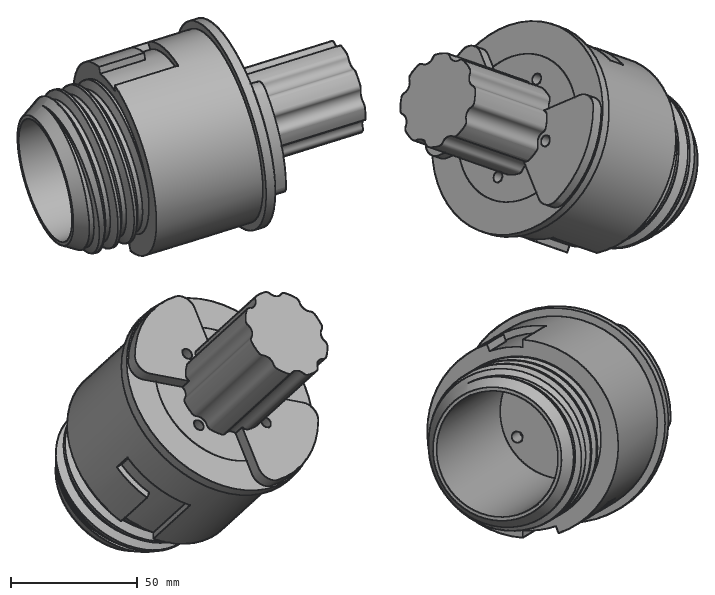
import cadquery as cq
import math


sleeve_front_y = 30.0
flange_thickness = 4.0
sleeve_back_y = 80.0
pad_thickness = 5.0
shaft_end_y = 130.0
end_wall_thickness = 5.0

sleeve_radius = 40.0
flange_radius = 43.25
slot_floor_radius = 37.0
slot_count = 2
slot_start_angle = 90.0
entry_sweep = 22.0
lock_sweep = 46.5
lock_front_y = 49.5
lock_back_y = 57.5

thread_crest_radius = 33.25
bore_radius = 25.4
thread_root_radius = 30.0
thread_pitch = 7.0
thread_root_width = 2.0
thread_flank_angle = 30.0
thread_groove_start_y = -7.55
nose_radius = 26.9
nose_taper_angle = 31.0

core_angle = 28.25
pad_count = 2
pad_sweep = 75.0
pad_radius = 42.5
pad_corner_radius = 6.0
shaft_radius = 19.0
flute_count = 8
flute_radius = 4.0
flute_edge_radius = 2.25
hole_count = 4
hole_diameter = 4.5
hole_circle_radius = 20.75


def polar(radius, angle):
    """Point in the XZ plane at the given radius and angle in degrees."""
    turn = math.radians(angle)
    return (radius * math.cos(turn), radius * math.sin(turn))


def section_at(y):
    """XZ workplane at station y; a negative extrusion runs towards +Y."""
    return cq.Workplane("XZ", origin=(0, y, 0))


def cylinder(radius, y_start, y_end):
    return section_at(y_start).circle(radius).extrude(y_start - y_end)


def ring_sector(inner, outer, start, sweep, y_start, y_end):
    """Block between two radii that spans a sweep of angles."""
    middle = start + sweep / 2
    end = start + sweep
    return (
        section_at(y_start)
        .moveTo(*polar(inner, start))
        .lineTo(*polar(outer, start))
        .threePointArc(polar(outer, middle), polar(outer, end))
        .lineTo(*polar(inner, end))
        .threePointArc(polar(inner, middle), polar(inner, start))
        .close()
        .extrude(y_start - y_end)
    )


def make_sleeve():
    """Flanged sleeve with two opposite L-shaped bayonet slots."""
    sleeve = cylinder(sleeve_radius, sleeve_front_y, sleeve_back_y)
    sleeve = sleeve.union(cylinder(flange_radius, sleeve_back_y - flange_thickness, sleeve_back_y))
    sleeve = sleeve.cut(cylinder(thread_root_radius, sleeve_front_y, sleeve_back_y))
    for index in range(slot_count):
        start = slot_start_angle + index * 360 / slot_count
        entry = ring_sector(
            slot_floor_radius, flange_radius, start, entry_sweep, sleeve_front_y, lock_back_y
        )
        lock = ring_sector(
            slot_floor_radius, flange_radius, start, lock_sweep, lock_front_y, lock_back_y
        )
        sleeve = sleeve.cut(entry).cut(lock)
    return sleeve


def make_groove_turn():
    """One right-handed turn of the trapezoidal thread groove, starting at angle 0 and Y = 0."""
    overcut = 0.5
    flank_slope = math.tan(math.radians(thread_flank_angle))
    outer_radius = thread_crest_radius + overcut
    root_half = thread_root_width / 2
    outer_half = root_half + (outer_radius - thread_root_radius) * flank_slope
    helix = cq.Wire.makeHelix(thread_pitch, thread_pitch, thread_root_radius)
    turn = (
        cq.Workplane("XZ")
        .polyline([
            (thread_root_radius, -root_half),
            (outer_radius, -outer_half),
            (outer_radius, outer_half),
            (thread_root_radius, root_half),
        ])
        .close()
        .sweep(cq.Workplane(helix), isFrenet=True)
    )
    return turn.rotate((0, 0, 0), (1, 0, 0), -90)


def make_threaded_end():
    """Threaded length, still solid, whose nose taper cuts across the thread."""
    taper_length = (thread_crest_radius - nose_radius) / math.tan(math.radians(nose_taper_angle))
    threaded_end = (
        cq.Workplane("XY")
        .polyline([
            (0, 0),
            (nose_radius, 0),
            (thread_crest_radius, taper_length),
            (thread_crest_radius, sleeve_front_y),
            (0, sleeve_front_y),
        ])
        .close()
        .revolve(360, (0, 0, 0), (0, 1, 0))
        .rotate((0, 0, 0), (0, 1, 0), -core_angle - 90)
    )
    groove_length = sleeve_front_y + thread_pitch / 2 - thread_groove_start_y
    groove_turn = make_groove_turn()
    for index in range(math.ceil(groove_length / thread_pitch)):
        turn_y = thread_groove_start_y + index * thread_pitch
        threaded_end = threaded_end.cut(groove_turn.translate((0, turn_y, 0)))
    return threaded_end


def make_pad(angle):
    """Sector-shaped pad behind the flange, centred on the given angle."""
    half = pad_sweep / 2
    round_centre = pad_radius - pad_corner_radius
    half_arc = half - math.degrees(math.asin(pad_corner_radius / round_centre))
    side_length = math.sqrt(round_centre**2 - pad_corner_radius**2)

    def corner_middle(side):
        """Middle of the corner round on one side, +1 or -1, of the pad."""
        centre_angle = angle + side * half_arc
        outward = angle + side * (half_arc + half + 90) / 2
        centre = polar(round_centre, centre_angle)
        reach = polar(pad_corner_radius, outward)
        return (centre[0] + reach[0], centre[1] + reach[1])

    return (
        section_at(sleeve_back_y)
        .lineTo(*polar(side_length, angle - half))
        .threePointArc(corner_middle(-1), polar(pad_radius, angle - half_arc))
        .threePointArc(polar(pad_radius, angle), polar(pad_radius, angle + half_arc))
        .threePointArc(corner_middle(1), polar(side_length, angle + half))
        .close()
        .extrude(-pad_thickness)
    )


def make_shaft():
    """Round shaft with concave flutes blended into its lands by rounded edges."""
    round_centre = shaft_radius - flute_edge_radius
    centre_gap = flute_radius + flute_edge_radius
    cosine = round_centre**2 + hole_circle_radius**2 - centre_gap**2
    cosine /= 2 * round_centre * hole_circle_radius
    half_flute = math.degrees(math.acos(cosine))
    pitch_angle = 360 / flute_count

    def blend_points(angle, side):
        """Flute end and middle of the edge round on one side, +1 or -1, of a flute."""
        flute_centre = polar(hole_circle_radius, angle)
        centre = polar(round_centre, angle + side * half_flute)
        flute_offset = (flute_centre[0] - centre[0], flute_centre[1] - centre[1])
        to_flute = math.degrees(math.atan2(flute_offset[1], flute_offset[0]))
        to_land = angle + side * half_flute
        turn = (to_land - to_flute + 180) % 360 - 180
        points = []
        for direction in (to_flute, to_flute + turn / 2):
            reach = polar(flute_edge_radius, direction)
            points.append((centre[0] + reach[0], centre[1] + reach[1]))
        return points

    outline = section_at(sleeve_back_y).moveTo(*polar(shaft_radius, core_angle - half_flute))
    for index in range(flute_count):
        angle = core_angle + index * pitch_angle
        entry_end, entry_middle = blend_points(angle, -1)
        exit_end, exit_middle = blend_points(angle, 1)
        flute_bottom = polar(hole_circle_radius - flute_radius, angle)
        land_middle = polar(shaft_radius, angle + pitch_angle / 2)
        land_end = polar(shaft_radius, angle + pitch_angle - half_flute)
        outline = (
            outline.threePointArc(entry_middle, entry_end)
            .threePointArc(flute_bottom, exit_end)
            .threePointArc(exit_middle, polar(shaft_radius, angle + half_flute))
            .threePointArc(land_middle, land_end)
        )
    return outline.close().extrude(sleeve_back_y - shaft_end_y)


def make_core():
    """Hollow threaded core with retaining pads and fluted shaft at its closed end."""
    core = make_threaded_end().union(cylinder(thread_root_radius, sleeve_front_y, sleeve_back_y))
    for index in range(pad_count):
        core = core.union(make_pad(core_angle + index * 360 / pad_count))
    core = core.union(make_shaft())
    core = core.cut(cylinder(bore_radius, 0, sleeve_back_y - end_wall_thickness))
    for index in range(hole_count):
        x, z = polar(hole_circle_radius, core_angle + index * 360 / hole_count)
        hole = cylinder(hole_diameter / 2, 0, shaft_end_y).translate((x, 0, z))
        core = core.cut(hole)
    return core


sleeve = make_sleeve()
core = make_core()

result = cq.Compound.makeCompound([sleeve.val(), core.val()])